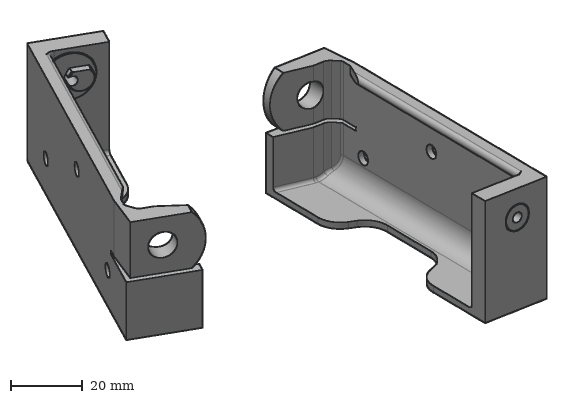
import cadquery as cq
import math

LENGTH = 96.35
DEPTH = 22.2
HEIGHT = 38.8
OVERSIZE = 9.6
MARGIN = 0.1

LEFT_WALL = 5.9
BACK_WALL = 2.1
FLOOR_THICKNESS = BACK_WALL
COVE_RADIUS = 6.9
END_FILLET = 1.2
RIGHT_WALL_X = 90.4
LEAN_START_Y = 10.0
LEAN_ANGLE = 13.0

LIP_REACH = 2.8
LIP_RAMP_X = 76.9
HINGE_START_X = 83.8
HINGE_END_X = 87.4
HINGE_CORNER_RADIUS = 3.0

SLOT_X = 81.4
SLOT_BOTTOM = 19.2
SLOT_WIDTH = 1.2
TAPER_X = 84.3
TAPER_DEPTH = 1.2

AXIS_Y = 10.6
AXIS_Z = 29.6
BORE_DIAMETER = 3.2
PIVOT_HOLE_DIAMETER = 8.5
ARM_RADIUS = 12.5

OPENING_Y = 10.1
OPENING_MOUTH = 39.9
OPENING_BASE = 29.9
OPENING_RADIUS = 8.0

MOUNT_DIAMETER = 4.2
MOUNT_SPREAD = 30.0
MOUNT_LOW_Z = 11.85
MOUNT_HIGH_Z = 26.8

PIVOT_DIAMETER = 8.0
FLANGE_RADIUS = 7.6
FLANGE_THICKNESS = 1.9
FLANGE_FACE_X = 6.2
FLANGE_CLEARANCE = (PIVOT_HOLE_DIAMETER - PIVOT_DIAMETER) / 2
PEG_OFFSET = 2.7
PEG_FLAT_HEIGHT = 2.9
PEG_END_X = 8.5
PEG_CHAMFER = 0.3


def rod(diameter, start_x, end_x, y=AXIS_Y, z=AXIS_Z):
    """Cylinder parallel to X, on the axle line unless placed elsewhere."""
    return (
        cq.Workplane("YZ", origin=(start_x, y, z))
        .circle(diameter / 2)
        .extrude(end_x - start_x)
    )


def block(x0, x1, y0, y1, z0, z1):
    """Box given by its limits along each axis."""
    return cq.Workplane("XY").box(x1 - x0, y1 - y0, z1 - z0, centered=False).translate((x0, y0, z0))


def lip():
    """Half-round lip along the top of the back wall, ending in a ramp next to the hinge."""
    radius = LIP_REACH / 2
    nose_y = BACK_WALL + radius
    bar = (
        block(LEFT_WALL, HINGE_START_X, BACK_WALL, nose_y, HEIGHT - LIP_REACH, HEIGHT)
        .union(rod(LIP_REACH, LEFT_WALL, HINGE_START_X, nose_y, HEIGHT - radius))
    )
    ramp = (
        cq.Workplane("XY")
        .polyline([
            (LIP_RAMP_X, BACK_WALL + LIP_REACH),
            (HINGE_START_X, BACK_WALL),
            (HINGE_START_X, BACK_WALL + LIP_REACH),
        ])
        .close()
        .extrude(HEIGHT + OVERSIZE)
    )
    return bar.cut(ramp)


def cavity():
    """Open space between the walls, with a coved floor and rounded ends."""
    far_y = DEPTH + OVERSIZE
    lean_x = RIGHT_WALL_X + (far_y - LEAN_START_Y) * math.tan(math.radians(LEAN_ANGLE))
    corner_y = BACK_WALL + RIGHT_WALL_X - HINGE_END_X
    plan = (
        cq.Workplane("XY")
        .polyline([
            (LEFT_WALL, far_y),
            (LEFT_WALL, BACK_WALL),
            (HINGE_END_X, BACK_WALL),
            (RIGHT_WALL_X, corner_y),
            (RIGHT_WALL_X, LEAN_START_Y),
            (lean_x, far_y),
        ])
        .close()
        .extrude(HEIGHT)
    )
    corner = cq.selectors.NearestToPointSelector((RIGHT_WALL_X, corner_y, HEIGHT / 2))
    plan = plan.edges(corner).fillet(HINGE_CORNER_RADIUS)
    section = (
        block(0, LENGTH + OVERSIZE, BACK_WALL, far_y, FLOOR_THICKNESS, HEIGHT)
        .edges("|X and <Y and <Z")
        .fillet(COVE_RADIUS)
    )
    space = plan.intersect(section).cut(lip())
    left_end = space.faces("<X").edges("not(>Y or >Z)")
    space = space.newObject(left_end.vals()).fillet(END_FILLET)
    right_foot = cq.selectors.BoxSelector(
        (RIGHT_WALL_X - MARGIN, BACK_WALL, FLOOR_THICKNESS - MARGIN),
        (lean_x, far_y - MARGIN, FLOOR_THICKNESS + END_FILLET),
    )
    return space.edges(right_foot).fillet(END_FILLET)


def floor_opening():
    """Flared opening through the floor with rounded corners."""
    depth = DEPTH - OPENING_Y
    run = (OPENING_MOUTH - OPENING_BASE) / 2
    slope = math.atan2(depth, run)
    tangent = OPENING_RADIUS * math.tan(slope / 2)
    bend = tangent * math.cos(slope)
    rise = tangent * math.sin(slope)
    sag_x = OPENING_RADIUS * math.sin(slope / 2)
    sag_y = OPENING_RADIUS * (1 - math.cos(slope / 2))
    mouth = OPENING_MOUTH / 2
    base = OPENING_BASE / 2

    def side(direction):
        """Points of one flank from the mouth down to the base, arcs by their middle points."""
        points = [
            (mouth + tangent, DEPTH),
            (mouth + tangent - sag_x, DEPTH - sag_y),
            (mouth - bend, DEPTH - rise),
            (base + bend, OPENING_Y + rise),
            (base - tangent + sag_x, OPENING_Y + sag_y),
            (base - tangent, OPENING_Y),
        ]
        return [(LENGTH / 2 + direction * x, y) for x, y in points]

    left = side(-1)
    right = side(1)
    return (
        cq.Workplane("XY", origin=(0, 0, -OVERSIZE))
        .moveTo(*left[0])
        .threePointArc(left[1], left[2])
        .lineTo(*left[3])
        .threePointArc(left[4], left[5])
        .lineTo(*right[5])
        .threePointArc(right[4], right[3])
        .lineTo(*right[2])
        .threePointArc(right[1], right[0])
        .lineTo(right[0][0], DEPTH + OVERSIZE)
        .lineTo(left[0][0], DEPTH + OVERSIZE)
        .close()
        .extrude(FLOOR_THICKNESS + 2 * OVERSIZE)
    )


def mounting_holes():
    """Three screw holes through the back wall."""
    middle = LENGTH / 2
    places = [
        (middle - MOUNT_SPREAD, MOUNT_LOW_Z),
        (middle + MOUNT_SPREAD, MOUNT_LOW_Z),
        (middle, MOUNT_HIGH_Z),
    ]
    return (
        cq.Workplane("XZ", origin=(0, -OVERSIZE, 0))
        .pushPoints(places)
        .circle(MOUNT_DIAMETER / 2)
        .extrude(-(BACK_WALL + 2 * OVERSIZE))
    )


def arm_taper():
    """Wedge that thins the outer face of the spring arm towards its free end."""
    return (
        cq.Workplane("XY", origin=(0, 0, SLOT_BOTTOM))
        .polyline([(TAPER_X, 0), (LENGTH, 0), (LENGTH, TAPER_DEPTH)])
        .close()
        .extrude(HEIGHT)
    )


def make_housing():
    """Open holder with a fixed left wall and a springy upper right wall."""
    slot_top = SLOT_BOTTOM + SLOT_WIDTH
    far_y = DEPTH + OVERSIZE
    arm_end = block(SLOT_X, LENGTH, 0, AXIS_Y, slot_top, HEIGHT).union(
        rod(2 * ARM_RADIUS, SLOT_X, LENGTH).intersect(block(SLOT_X, LENGTH, 0, far_y, slot_top, HEIGHT))
    )

    body = block(0, LENGTH, 0, DEPTH, 0, HEIGHT)
    body = body.cut(block(SLOT_X, LENGTH, 0, DEPTH, slot_top, HEIGHT)).union(arm_end)
    body = body.cut(cavity()).cut(floor_opening()).cut(mounting_holes())
    body = body.cut(block(SLOT_X, LENGTH, 0, far_y, SLOT_BOTTOM, slot_top)).cut(arm_taper())

    recess_x = FLANGE_FACE_X - FLANGE_THICKNESS - FLANGE_CLEARANCE
    body = body.cut(rod(PIVOT_HOLE_DIAMETER, 0, LENGTH))
    recess_diameter = 2 * (FLANGE_RADIUS + FLANGE_CLEARANCE)
    return body.cut(rod(recess_diameter, recess_x, LEFT_WALL + END_FILLET))


def make_driver():
    """Bored pivot with a flange and an off-centre peg that has a flat on top."""
    flange = rod(2 * FLANGE_RADIUS, FLANGE_FACE_X - FLANGE_THICKNESS, FLANGE_FACE_X)
    peg_y = AXIS_Y + PEG_OFFSET
    peg = rod(PIVOT_DIAMETER, FLANGE_FACE_X, PEG_END_X, peg_y).faces(">X").chamfer(PEG_CHAMFER)
    flat_z = AXIS_Z + PEG_FLAT_HEIGHT
    peg = peg.cut(block(0, LENGTH, 0, DEPTH, flat_z, HEIGHT))
    pivot = rod(PIVOT_DIAMETER, 0, FLANGE_FACE_X)
    return pivot.union(flange).union(peg).cut(rod(BORE_DIAMETER, 0, LENGTH))


housing = make_housing()
driver = make_driver()
result = cq.Compound.makeCompound([housing.solids().val(), driver.solids().val()])